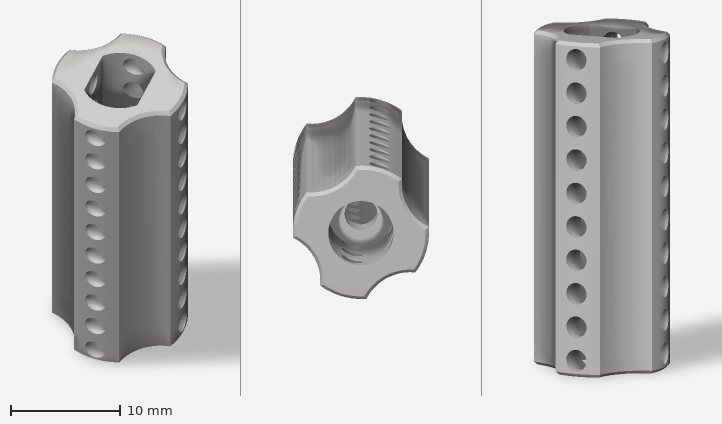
import cadquery as cq
import math

LENGTH = 31.25
OUTER_DIAMETER = 12.5
LOBE_COUNT = 4
LOBE_WIDTH = 4.45
SCALLOP_RADIUS = 4.5
EDGE_CHAMFER = 0.3

POCKET_DIAMETER = 7.0
POCKET_FLAT_WIDTH = 5.25
WEB_TOP = 11.03
WEB_BOTTOM = 8.5
BORE_DIAMETER = 3.0
SOCKET_DIAMETER = 6.0

SIDE_HOLE_DIAMETER = 2.0
SIDE_HOLE_COUNT = 10

DIAGONAL_ANGLE = 180 / LOBE_COUNT
OUTER_RADIUS = OUTER_DIAMETER / 2
HOLE_PITCH = LENGTH / SIDE_HOLE_COUNT
LOBE_HALF_WIDTH = LOBE_WIDTH / 2
LOBE_CORNER_HEIGHT = math.sqrt(OUTER_RADIUS**2 - LOBE_HALF_WIDTH**2)
SCALLOP_HALF_CHORD = (LOBE_CORNER_HEIGHT - LOBE_HALF_WIDTH) / math.sqrt(2)
SCALLOP_AXIS_RADIUS = (LOBE_CORNER_HEIGHT + LOBE_HALF_WIDTH) / math.sqrt(2) + math.sqrt(
    SCALLOP_RADIUS**2 - SCALLOP_HALF_CHORD**2
)


def lobed_body():
    """Round bar with four scallops between its lobes, chamfered at both ends."""
    scallops = (
        cq.Workplane("XY")
        .polarArray(SCALLOP_AXIS_RADIUS, DIAGONAL_ANGLE, 360, LOBE_COUNT)
        .circle(SCALLOP_RADIUS)
        .extrude(LENGTH)
    )
    body = cq.Workplane("XY").circle(OUTER_RADIUS).extrude(LENGTH).cut(scallops)
    return body.faces("<Z or >Z").chamfer(EDGE_CHAMFER)


def round_core(diameter, bottom, top):
    """Vertical cylinder on the part axis."""
    return cq.Workplane("XY", origin=(0, 0, bottom)).circle(diameter / 2).extrude(top - bottom)


def flatted_pocket(bottom, top):
    """Round pocket with two flats parallel to the YZ plane."""
    between_flats = (
        cq.Workplane("XY", origin=(0, 0, bottom))
        .rect(POCKET_FLAT_WIDTH, POCKET_DIAMETER)
        .extrude(top - bottom)
    )
    return round_core(POCKET_DIAMETER, bottom, top).intersect(between_flats)


def hole_row(plane):
    """One row of cross holes, evenly spaced along Z, running through two opposite lobes."""
    centers = [(0, HOLE_PITCH * (i + 0.5)) for i in range(SIDE_HOLE_COUNT)]
    return (
        cq.Workplane(plane)
        .pushPoints(centers)
        .circle(SIDE_HOLE_DIAMETER / 2)
        .extrude(OUTER_RADIUS, both=True)
    )


def side_holes():
    """Cross holes through all four lobes."""
    return hole_row("YZ").union(hole_row("XZ"))


web_core = round_core(SOCKET_DIAMETER, WEB_BOTTOM, WEB_TOP)

result = (
    lobed_body()
    .cut(side_holes().cut(web_core))
    .cut(flatted_pocket(WEB_TOP, LENGTH))
    .cut(round_core(SOCKET_DIAMETER, 0, WEB_BOTTOM))
    .cut(round_core(BORE_DIAMETER, WEB_BOTTOM, WEB_TOP))
)